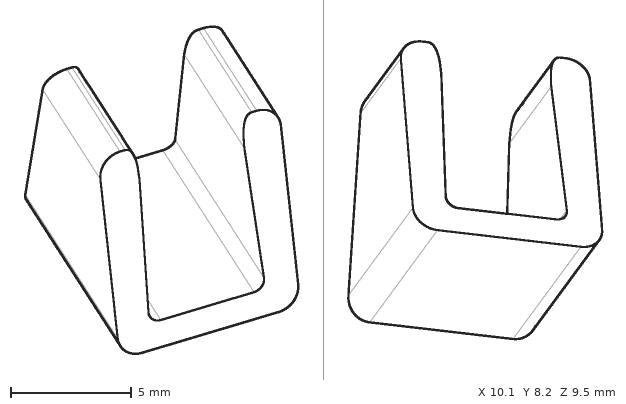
import cadquery as cq

base_length = 10.06
top_length = 5.51
width = 8.2
height = 9.5

floor_thickness = 1.25
wall_foot_thickness = 1.46
wall_lip_thickness = 1.72
outer_radius = 1.0
inner_radius = 0.5
lip_height = 1.53
lip_depth = 0.49

half_width = width / 2
foot_y = half_width - wall_foot_thickness
lip_y = half_width - wall_lip_thickness
lip_start_z = height - lip_height
lip_end_y = lip_y + lip_depth


def make_floor():
    """Flat web joining the two walls."""
    return cq.Workplane("XY").box(base_length, width, floor_thickness, centered=(True, True, False))


def make_wall():
    """Wall on the +Y side, thickening upwards to a parabolic lip."""
    return (
        cq.Workplane("YZ", origin=(-base_length / 2, 0, 0))
        .moveTo(foot_y, 0)
        .lineTo(half_width, 0)
        .lineTo(half_width, height)
        .lineTo(lip_end_y, height)
        .bezier([(lip_end_y, height), (lip_y, height), (lip_y, lip_start_z)])
        .lineTo(foot_y, floor_thickness)
        .close()
        .extrude(base_length)
    )


def make_channel():
    """U-shaped channel along X with rounded lengthwise edges."""
    wall = make_wall()
    channel = make_floor().union(wall).union(wall.mirror("XZ")).clean()
    inner_corners = cq.selectors.BoxSelector(
        (-base_length, -half_width, floor_thickness / 2),
        (base_length, half_width, height / 2),
    )
    channel = channel.edges("|X").edges(inner_corners).fillet(inner_radius)
    return channel.edges("|X and (<Y or >Y)").fillet(outer_radius)


def make_side_profile():
    """Trapezoid that slopes both end faces inwards towards the top."""
    return (
        cq.Workplane("XZ")
        .moveTo(-base_length / 2, 0)
        .lineTo(base_length / 2, 0)
        .lineTo(top_length / 2, height)
        .lineTo(-top_length / 2, height)
        .close()
        .extrude(half_width, both=True)
    )


result = make_channel().intersect(make_side_profile())